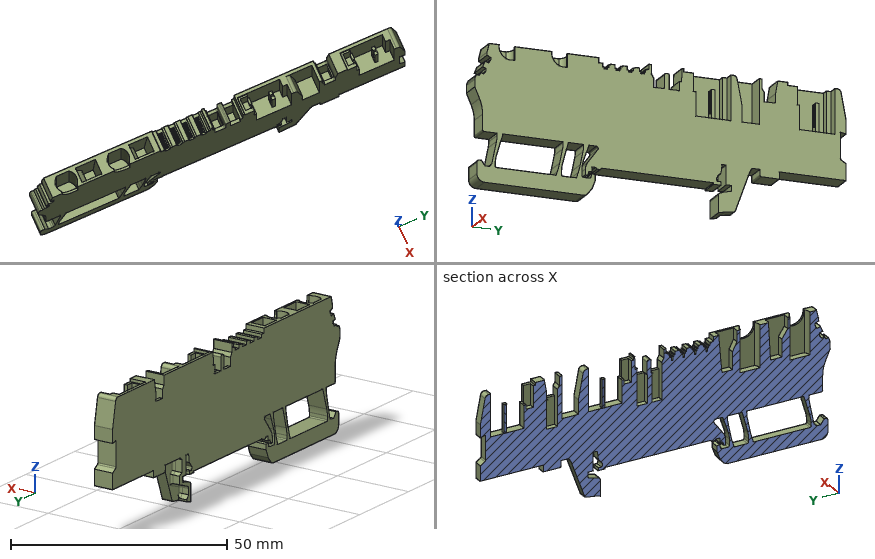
import cadquery as cq
import math


THICKNESS = 5.1
TOP_Z = 34.0
UNDERSIDE_Z = 11.9
FOOT_TOP_Z = 4.0
RAIL_SEAT_Z = 7.2
BACK_UNDERSIDE_Z = 12.4
END_Y = 46.5
SIDE_WALL = 0.8
THIN_WALL = 0.6

LEFT_X = -THICKNESS / 2
RIGHT_X = THICKNESS / 2
WALL_X = LEFT_X + SIDE_WALL

PLUG_PITCH = 26.0
PLUG_COUNT = 2
POCKET_FLOOR_Z = 22.9
POCKET_END_Y = 31.9
POCKET_NARROW_Y = 42.6
POCKET_WIDE_Y = 43.7
CORNER_POST_X = 0.1
SOCKET_BLOCK_Y = 34.9
SOCKET_LIP_Z = 28.8
SOCKET_TOP_Z = 33.3
SOCKET_WIDTH = 3.0
SOCKET_LENGTH = 1.9
SOCKET_DEPTH = 5.6
SOCKET_Y = 33.4
SOCKET_X = 0.2
SOCKET_SLOT = 0.6

CONTACT_Y = 39.8
CONTACT_X = 0.3
CONTACT_WIDTH = 2.0
CONTACT_LENGTH = 0.8
CONTACT_HEIGHT = 7.4
CONTACT_SLIT = 0.4
CONTACT_BASE = 1.9

LEAN_BOTTOM_Z = 26.7
LEAN_TOP_Y = 45.1
LEAN_TOP_RADIUS = 1.0
RECESS_Y = 24.7

NOTCH_FLOOR_Z = 28.55
BRIDGE_DEPTH = 7.4
BRIDGE_SLOTS = [(28.8, 26.0), (4.7, 2.1), (0.8, -1.7)]

MARKER_START_Y = -2.9
MARKER_END_Y = -15.4
MARKER_TOP_Z = 32.8
MARKER_NOTCH_Y = -4.5
MARKER_NOTCH_WIDTH = 1.5
MARKER_NOTCH_Z = 32.0
MARKER_PITCH = 3.1
MARKER_STEP_WIDTH = 0.5
MARKER_STEP_Z = 32.6
MARKER_COUNT = 4
MARKER_GROOVE_WIDTH = 0.8
MARKER_GROOVE_Z = 31.5
MARKER_SLIT_WIDTH = 0.3
MARKER_SLIT_LENGTH = 3.7
MARKER_SLIT_DEPTH = 0.9
MARKER_SLIT_X = 0.2

WIRE_FLOOR_Z = 24.2
WIRE_RAMP_Z = (28.8, 31.2)
WIRE_OPENINGS = [(-16.9, -17.8, -20.5, -21.7), (-30.1, -30.7, -33.6, -35.2)]
RELEASE_HOLES_Y = [-25.2, -38.4]
RELEASE_RADIUS = 2.6
RELEASE_X = 0.4
RELEASE_DEPTH = 11.2
SCOOP_HALF = 1.95
SCOOP_DROP = 3.3

WEB_X = LEFT_X + 2.3
WEB_FILLET = 0.6
WEB_MARGIN = 0.1
WEB_FRONT_Y = 23.0
BAR_FRONT_Y = 19.5
BAR_TIP_Y = 15.25
BAR_CORNER_Z = 1.1


def corner_arc(before, corner, after, radius):
    """Start, middle and end of the arc that rounds one corner."""
    to_before = (cq.Vector(*before) - cq.Vector(*corner)).normalized()
    to_after = (cq.Vector(*after) - cq.Vector(*corner)).normalized()
    half_angle = to_before.getAngle(to_after) / 2
    reach = radius / math.tan(half_angle)
    bisector = (to_before + to_after).normalized()
    middle = bisector * (radius / math.sin(half_angle) - radius)
    origin = cq.Vector(*corner)
    return [(p.x, p.y) for p in (origin + to_before * reach, origin + middle, origin + to_after * reach)]


def plate(outline, x_from=LEFT_X, x_to=RIGHT_X):
    """Extrude a closed (y, z) outline along X. A third value in a point rounds that corner."""
    sketch = None
    for index, point in enumerate(outline):
        corner = point[:2]
        stops = [corner]
        if len(point) == 3:
            before = outline[index - 1][:2]
            after = outline[(index + 1) % len(outline)][:2]
            stops = corner_arc(before, corner, after, point[2])
        if sketch is None:
            sketch = cq.Workplane("YZ", origin=(x_from, 0, 0)).moveTo(*stops[0])
        else:
            sketch = sketch.lineTo(*stops[0])
        if len(stops) == 3:
            sketch = sketch.threePointArc(stops[1], stops[2])
    return sketch.close().extrude(x_to - x_from)


def block(x_range, y_range, z_range):
    """Box between pairs of limits."""
    size = [abs(b - a) for a, b in (x_range, y_range, z_range)]
    low = [min(pair) for pair in (x_range, y_range, z_range)]
    return cq.Workplane("XY").box(*size, centered=False).translate(tuple(low))


def main_plate():
    """Housing outline without the openings in its top edge."""
    return plate([
        (LEAN_TOP_Y, TOP_Z, LEAN_TOP_RADIUS), (END_Y, LEAN_BOTTOM_Z),
        (END_Y, 23.25), (45.1, 23.5), (45.1, 16.9, 0.5), (END_Y, 16.0), (END_Y, UNDERSIDE_Z),
        (29.8, UNDERSIDE_Z), (29.8, 10.1), (24.9, 10.1, 0.4), (24.9, UNDERSIDE_Z),
        (16.5, UNDERSIDE_Z), (15.4, UNDERSIDE_Z), (15.2, 9.8), (13.95, 8.3, 0.5), (14.3, 7.6), (15.2, 7.6),
        (15.2, 6.8), (13.3, 6.8), (13.3, RAIL_SEAT_Z), (-14.7, RAIL_SEAT_Z), (-15.1, 6.8), (-15.8, 6.8),
        (-16.3, RAIL_SEAT_Z), (-17.1, RAIL_SEAT_Z), (-17.1, 5.95), (-17.9, 5.95), (-18.2, 5.0), (-18.8, 5.0),
        (-18.8, 7.35, 2.8), (-15.4, UNDERSIDE_Z, 0.4), (-16.0, BACK_UNDERSIDE_Z),
        (-44.55, BACK_UNDERSIDE_Z, 0.4),
        (-44.55, 18.5, 9.3), (-END_Y, 23.0), (-END_Y, 25.0, 0.9), (-46.0, 26.1, 0.3),
        (-45.4, 25.95), (-44.9, 26.7), (-44.3, 26.4), (-43.7, 27.2), (-43.7, 27.8),
        (-44.55, 28.1), (-43.9, 29.6), (-43.0, 29.3),
        (-42.5, 30.1), (-42.5, 30.6), (-43.4, 31.1), (-43.4, 31.8), (-42.9, TOP_Z),
    ])


def rail_foot():
    """Long foot under the -Y half with its three slanted legs."""
    foot = plate([
        (-17.9, BACK_UNDERSIDE_Z), (-18.4, 10.9), (-19.6, 7.35, 5.6), (-19.6, 4.4, 0.4),
        (-17.5, 4.4, 0.5), (-17.1, 5.6), (-16.3, 5.4),
        (-16.3, FOOT_TOP_Z), (-17.1, 1.9), (-18.6, 0.0, 1.4), (-45.9, 0.0, 1.9), (-45.9, 5.3, 0.65),
        (-44.8, 5.3), (-43.9, FOOT_TOP_Z), (-42.8, FOOT_TOP_Z, 0.6), (-42.2, 4.7), (-40.9, 11.1, 7.4),
        (-40.9, BACK_UNDERSIDE_Z),
    ])
    short_window = plate([
        (-19.25, BACK_UNDERSIDE_Z), (-23.1, BACK_UNDERSIDE_Z), (-24.7, 6.1, 7.4), (-24.7, FOOT_TOP_Z, 0.3),
        (-21.0, FOOT_TOP_Z), (-20.3, 6.3, 18.6), (-19.25, 11.3, 7.4),
    ])
    long_window = plate([
        (-24.4, BACK_UNDERSIDE_Z), (-39.4, BACK_UNDERSIDE_Z), (-41.3, 6.1, 7.4), (-41.4, FOOT_TOP_Z, 0.3),
        (-26.1, FOOT_TOP_Z), (-25.5, 5.95, 18.6), (-24.4, 11.3, 7.4),
    ])
    return foot.cut(short_window).cut(long_window)


def spring_foot():
    """Zigzag rail latch with a recessed web on its +Y side."""
    bar = plate([
        (18.8, UNDERSIDE_Z), (18.2, 11.3), (18.2, 8.2), (19.2, 7.5), (19.2, 5.4), (15.4, 4.0, 0.7),
        (15.4, 1.95), (16.2, 0.9), (16.1, 0.4), (14.5, 0.0), (14.5, 4.8, 0.7), (17.8, 5.7),
        (17.8, 7.1), (16.5, 7.1), (16.5, UNDERSIDE_Z),
    ])
    web = plate([
        (WEB_FRONT_Y, UNDERSIDE_Z), (22.4, 11.0), (18.7, 0.7, 0.5), (16.1, 0.4), (15.1, 2.3), (15.1, 4.3),
        (18.6, 5.6), (18.6, 7.4), (17.7, 8.2), (17.7, UNDERSIDE_Z),
    ], x_from=WEB_X)
    return bar.union(web)


def round_web_corners(body):
    """Fillet the inside corner where the recessed web meets the latch bar and the main plate."""
    near_x, far_x = WEB_X - WEB_MARGIN, WEB_X + WEB_MARGIN
    top_z = UNDERSIDE_Z + WEB_MARGIN
    along_bar = cq.selectors.BoxSelector((near_x, BAR_TIP_Y, BAR_CORNER_Z), (far_x, BAR_FRONT_Y, top_z))
    low_z = UNDERSIDE_Z - WEB_MARGIN
    along_plate = cq.selectors.BoxSelector((near_x, BAR_FRONT_Y, low_z), (far_x, WEB_FRONT_Y, top_z))
    return body.edges(along_bar + along_plate).fillet(WEB_FILLET)


def bridge_notches():
    """Two notches in the top edge, the second with a divider, and the bridge slots in their floors."""
    single = plate([
        (29.4, TOP_Z), (28.8, 30.9), (28.8, NOTCH_FLOOR_Z, 0.4), (26.0, NOTCH_FLOOR_Z),
        (26.0, 30.8), (25.5, 31.6), (25.5, TOP_Z),
    ])
    double = plate([
        (5.4, TOP_Z), (5.3, 30.8), (4.7, 30.8), (4.7, NOTCH_FLOOR_Z), (2.2, NOTCH_FLOOR_Z),
        (2.2, 32.4, 0.5), (1.0, 32.4, 0.5), (1.0, NOTCH_FLOOR_Z, 0.4), (-1.7, NOTCH_FLOOR_Z),
        (-1.7, 30.8), (-2.2, 31.8), (-2.2, TOP_Z),
    ])
    notches = single.union(double)
    slot_x = (WALL_X, -WALL_X)
    for slot_y in BRIDGE_SLOTS:
        notches = notches.union(block(slot_x, slot_y, (NOTCH_FLOOR_Z - BRIDGE_DEPTH, NOTCH_FLOOR_Z)))
    return notches


def marker_strip():
    """Lowered strip with evenly spaced notches, each with a step, a groove and a fine slit."""
    strip = block((LEFT_X, RIGHT_X), (MARKER_START_Y, MARKER_END_Y), (MARKER_TOP_Z, TOP_Z))
    for index in range(MARKER_COUNT):
        centre_y = MARKER_NOTCH_Y - index * MARKER_PITCH
        notch = cq.Workplane("XY", origin=(0, centre_y, MARKER_NOTCH_Z)).rect(THICKNESS, MARKER_NOTCH_WIDTH)
        notch_front = centre_y + MARKER_NOTCH_WIDTH / 2
        step_y = (notch_front, notch_front + MARKER_STEP_WIDTH)
        step = block((LEFT_X, RIGHT_X), step_y, (MARKER_STEP_Z, MARKER_TOP_Z))
        groove = block(
            (WALL_X, RIGHT_X),
            (centre_y - MARKER_GROOVE_WIDTH / 2, centre_y + MARKER_GROOVE_WIDTH / 2),
            (MARKER_GROOVE_Z, MARKER_NOTCH_Z),
        )
        slit = cq.Workplane("XY", origin=(MARKER_SLIT_X, centre_y, MARKER_GROOVE_Z))
        slit = slit.rect(MARKER_SLIT_LENGTH, MARKER_SLIT_WIDTH).extrude(-MARKER_SLIT_DEPTH)
        strip = strip.union(notch.extrude(TOP_Z - MARKER_NOTCH_Z)).union(step).union(groove).union(slit)
    return strip


def plug_pocket():
    """Pocket of the first plug, open to the top and to +X, with its socket block left standing."""
    pocket_z = (POCKET_FLOOR_Z, TOP_Z)
    pocket = block((WALL_X, RIGHT_X), (POCKET_END_Y, POCKET_NARROW_Y), pocket_z)
    beside_post = block((CORNER_POST_X, RIGHT_X), (POCKET_NARROW_Y, POCKET_WIDE_Y), pocket_z)
    socket_block = block((WALL_X, RIGHT_X), (POCKET_END_Y, SOCKET_BLOCK_Y), (POCKET_FLOOR_Z, SOCKET_TOP_Z))
    socket_z = (SOCKET_TOP_Z - SOCKET_DEPTH, SOCKET_TOP_Z)
    socket = block(
        (SOCKET_X - SOCKET_WIDTH / 2, SOCKET_X + SOCKET_WIDTH / 2),
        (SOCKET_Y - SOCKET_LENGTH / 2, SOCKET_Y + SOCKET_LENGTH / 2),
        socket_z,
    )
    lip_y = (SOCKET_Y + SOCKET_LENGTH / 2, SOCKET_BLOCK_Y)
    lip_gap = block((WALL_X, RIGHT_X), lip_y, (SOCKET_LIP_Z, SOCKET_TOP_Z))
    slot_x = (SOCKET_X - SOCKET_SLOT / 2, SOCKET_X + SOCKET_SLOT / 2)
    slot = block(slot_x, (SOCKET_Y, SOCKET_BLOCK_Y), socket_z)
    return pocket.union(beside_post).cut(socket_block.cut(socket).cut(slot).cut(lip_gap))


def front_recess():
    """Opening in front of the second plug; its wall repeats the shape of the +Y end."""
    wall_y = END_Y - PLUG_PITCH
    wall_top_y = LEAN_TOP_Y - PLUG_PITCH
    opening = block((WALL_X, RIGHT_X), (RECESS_Y, wall_top_y - LEAN_TOP_RADIUS), (POCKET_FLOOR_Z, TOP_Z))
    wall = plate([
        (wall_top_y, TOP_Z, LEAN_TOP_RADIUS), (wall_y, LEAN_BOTTOM_Z), (wall_y, POCKET_FLOOR_Z),
        (POCKET_WIDE_Y - PLUG_PITCH, POCKET_FLOOR_Z), (POCKET_WIDE_Y - PLUG_PITCH, TOP_Z),
    ])
    return opening.cut(wall)


def wire_opening(top_front, floor_front, ramp_foot, top_back):
    """Funnel for a wire with a slanted front and a ramp at the back."""
    return plate([
        (top_front, TOP_Z), (floor_front, WIRE_FLOOR_Z), (ramp_foot, WIRE_FLOOR_Z),
        (ramp_foot, WIRE_RAMP_Z[0]), (top_back, WIRE_RAMP_Z[1]), (top_back, TOP_Z),
    ], x_from=WALL_X, x_to=RIGHT_X - THIN_WALL)


def release_hole(centre_y):
    """Round hole flattened by the side walls, with a dip in the +X wall."""
    bore = cq.Workplane("XY", origin=(RELEASE_X, centre_y, TOP_Z)).circle(RELEASE_RADIUS)
    bore = bore.extrude(-RELEASE_DEPTH).intersect(block(
        (WALL_X, RIGHT_X - THIN_WALL),
        (centre_y - RELEASE_RADIUS, centre_y + RELEASE_RADIUS),
        (TOP_Z - RELEASE_DEPTH, TOP_Z),
    ))
    front_y = centre_y + SCOOP_HALF
    back_y = centre_y - SCOOP_HALF
    scoop = (
        cq.Workplane("YZ", origin=(RIGHT_X - THIN_WALL, 0, 0))
        .moveTo(front_y, TOP_Z)
        .lineTo(front_y, TOP_Z - SCOOP_DROP)
        .threePointArc((centre_y, TOP_Z - SCOOP_DROP), (back_y, TOP_Z))
        .close()
        .extrude(THIN_WALL)
    )
    return bore.union(scoop)


def make_housing():
    body = main_plate().union(rail_foot()).union(spring_foot())
    body = round_web_corners(body)
    body = body.cut(bridge_notches()).cut(marker_strip()).cut(front_recess())
    for index in range(PLUG_COUNT):
        body = body.cut(plug_pocket().translate((0, -index * PLUG_PITCH, 0)))
    for edges in WIRE_OPENINGS:
        body = body.cut(wire_opening(*edges))
    for centre_y in RELEASE_HOLES_Y:
        body = body.cut(release_hole(centre_y))
    return body


def make_contact(index):
    """Slotted contact standing on the floor of one plug pocket."""
    floor_point = (CONTACT_X, CONTACT_Y - index * PLUG_PITCH, POCKET_FLOOR_Z)
    blades = cq.Workplane("XY", origin=floor_point).rect(CONTACT_WIDTH, CONTACT_LENGTH)
    blades = blades.extrude(CONTACT_HEIGHT)
    slit = cq.Workplane("XY", origin=floor_point).workplane(offset=CONTACT_BASE)
    slit = slit.rect(CONTACT_SLIT, CONTACT_LENGTH).extrude(CONTACT_HEIGHT - CONTACT_BASE)
    return blades.cut(slit)


housing = make_housing()
contacts = [make_contact(index) for index in range(PLUG_COUNT)]

result = cq.Compound.makeCompound([housing.val(), *[contact.val() for contact in contacts]])